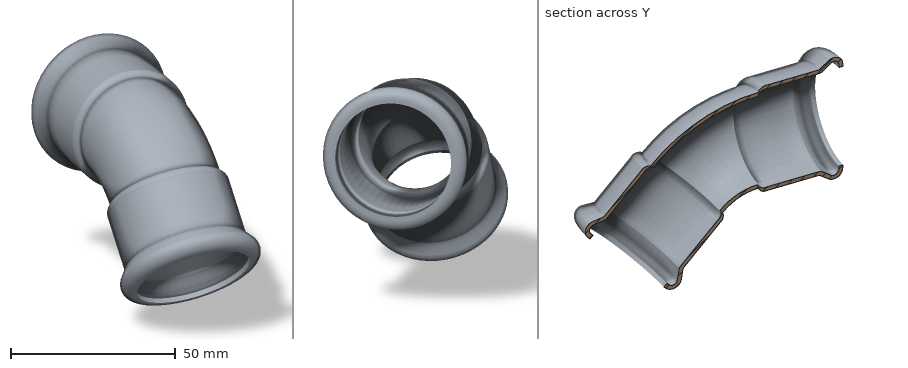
import cadquery as cq
import math

bend_angle = 45.0
half_angle = math.radians(bend_angle / 2)
leg_length = 43.4

wall = 1.5
tube_radius = 17.5
socket_radius = 19.3
tube_bore = tube_radius - wall
socket_bore = socket_radius - wall

bead_end = 4.7
cone_end = 8.1
shoulder_start = 26.0
socket_length = 29.0

lead_in_start = 7.5
lead_in_end = 8.6
lead_in_radius = 17.9
stop_radius = 16.5

bead_diameter = 44.3
bead_outer_radius = bead_diameter / 2
bead_round = 3.2
bead_center_radius = bead_outer_radius - bead_round
mouth_radius = 17.9
bead_inner_round = bead_round - wall

bend_radius = (leg_length - socket_length) / math.tan(half_angle)


def bead_point(round_radius, axial):
    """Point on the outer half of a bead circle at an axial position."""
    rise = math.sqrt(round_radius**2 - (axial - bead_round) ** 2)
    return (axial, bead_center_radius + rise)


def shoulder_middle(large_radius, small_radius):
    """Middle of the rounded shoulder between two radii."""
    bulge = math.sqrt(0.5)
    return (
        shoulder_start + (socket_length - shoulder_start) * bulge,
        small_radius + (large_radius - small_radius) * bulge,
    )


def make_socket():
    """Socket revolved about X, with its open face at the origin."""
    groove_end = bead_round + bead_inner_round * math.sqrt(0.5)
    bead_crest = bead_point(bead_round, bead_round)
    groove_crest = bead_point(bead_inner_round, bead_round)
    profile = (
        cq.Workplane("XY")
        .moveTo(0, mouth_radius)
        .lineTo(0, bead_center_radius)
        .threePointArc(bead_crest, bead_point(bead_round, bead_end))
        .lineTo(cone_end, socket_radius)
        .lineTo(shoulder_start, socket_radius)
        .threePointArc(shoulder_middle(socket_radius, tube_radius), (socket_length, tube_radius))
        .lineTo(socket_length, tube_bore)
        .lineTo(socket_length, stop_radius)
        .threePointArc(shoulder_middle(socket_bore, stop_radius), (shoulder_start, socket_bore))
        .lineTo(lead_in_end, socket_bore)
        .lineTo(lead_in_start, lead_in_radius)
        .lineTo(*bead_point(bead_inner_round, groove_end))
        .threePointArc(groove_crest, (wall, bead_center_radius))
        .lineTo(wall, mouth_radius)
        .close()
    )
    return profile.revolve(360, (0, 0, 0), (1, 0, 0))


def make_bend():
    """Hollow tube swept down around an axis parallel to Y."""
    return (
        cq.Workplane("YZ", origin=(socket_length, 0, 0))
        .circle(tube_radius)
        .circle(tube_bore)
        .revolve(bend_angle, (0, -bend_radius, 0), (1, -bend_radius, 0))
    )


inlet = make_socket()
outlet = (
    inlet.mirror("YZ", (leg_length, 0, 0))
    .rotate((leg_length, 0, 0), (leg_length, 1, 0), bend_angle)
)
result = inlet.union(make_bend()).union(outlet)